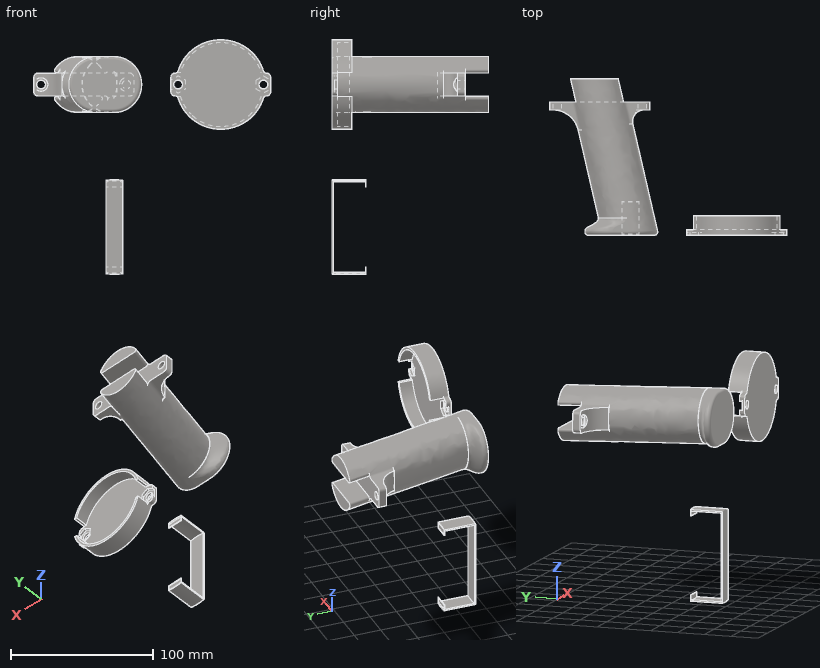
import cadquery as cq
import math

LUG_SPAN = 70.2
LUG_WIDTH = 16.1
LUG_CORNER_RADIUS = 3.0
SCREW_SPACING = 59.9
SCREW_DIAMETER = 6.0

GRIP_LENGTH = 110.0
GRIP_RADIUS = 19.8
GRIP_LEAN = 13.0
SLOT_DEPTH = 16.3
LUG_BLOCK_LENGTH = 23.3
SLOT_EDGE_RADIUS = 1.8
LUG_THICKNESS = 5.7
GRIP_BLEND_RADIUS = 3.0
REAR_GUSSET_RADIUS = 18.0
FRONT_GUSSET_RADIUS = 8.0
SCREW_SEAT_DIAMETER = 9.5
FOOT_THICKNESS = 2.8
FOOT_EDGE_RADIUS = 2.5
FOOT_FLARE = [(FOOT_THICKNESS, 11.6), (6.7, 7.3), (8.7, 3.0), (10.3, 1.0), (12.3, 0.3)]

CAP_X = 96.2
CAP_DIAMETER = 63.0
CAP_HEIGHT = 14.0
CAP_WALL = 2.0
CAP_FLOOR = 4.0
CAP_SLOT_WIDTH = 17.0
CAP_BLEND_RADIUS = 2.0
NUT_ACROSS_FLATS = 10.5
NUT_POCKET_DEPTH = 2.0

CLIP_X = 21.5
CLIP_Z = -100.0
CLIP_HEIGHT = 66.7
CLIP_WIDTH = 12.0
CLIP_DEPTH = 24.0
CLIP_THICKNESS = 1.2
CLIP_CORNER_RADIUS = 1.0
HOOK_THICKNESS = 0.5
HOOK_HEIGHT = 5.2

CAP_RADIUS = CAP_DIAMETER / 2
CLIP_RADIUS = CLIP_HEIGHT / 2
LUG_FACE_Y = GRIP_LENGTH - SLOT_DEPTH
LUG_SEAT_Y = LUG_FACE_Y - LUG_THICKNESS
SCREW_POINTS = [(-SCREW_SPACING / 2, 0), (SCREW_SPACING / 2, 0)]
LEAN_SLOPE = math.tan(math.radians(GRIP_LEAN))


def at(x, y, z=0.0):
    """Workplane across Y with local axes X and Z; a negative extrusion goes towards +Y."""
    return cq.Workplane("XZ", origin=(x, y, z))




def grip_axis_x(y):
    """X of the leaning grip axis, which passes X = 0 at the lug face."""
    return (LUG_FACE_Y - y) * LEAN_SLOPE


def lean(straight, y_start, y_end):
    """Extrude the end face that a straight prism has at y_start along the grip axis up to y_end."""
    path = cq.Vector(grip_axis_x(y_end) - grip_axis_x(y_start), y_end - y_start, 0)
    faces = straight.faces("<Y").vals()
    return cq.Workplane().newObject([cq.Solid.extrudeLinear(face, path) for face in faces])


def straight_bar(y_start, y_end):
    """Round bar along Y that starts on the grip axis at y_start."""
    return at(grip_axis_x(y_start), y_start).circle(GRIP_RADIUS).extrude(y_start - y_end)


def straight_cross_bar(y_start, y_end):
    """Bar of lug width across the grip axis that sticks out far on both sides."""
    return at(grip_axis_x(y_start), y_start).rect(2 * LUG_SPAN, LUG_WIDTH).extrude(y_start - y_end)


def end_slot():
    """Slot right across the end of the grip, flaring where its long edges are rounded."""
    limits = (LUG_FACE_Y, GRIP_LENGTH)
    prongs = straight_bar(*limits).cut(straight_cross_bar(*limits))
    prongs = prongs.edges("|Y").fillet(SLOT_EDGE_RADIUS)
    return lean(straight_bar(*limits).cut(prongs), *limits)


def lug_side_profile(side, gusset_radius):
    """Plate that gives one lug its shape in XY: an arc joins its underside to the grip's flank."""
    corner_angle = math.radians(90 - side * GRIP_LEAN)
    tangent = gusset_radius / math.tan(corner_angle / 2)
    arc_start_x = grip_axis_x(LUG_SEAT_Y) + side * (GRIP_RADIUS + tangent)
    arc_end_y = LUG_SEAT_Y - tangent * math.cos(math.radians(GRIP_LEAN))
    outline = (
        cq.Workplane("XY")
        .moveTo(0, LUG_FACE_Y)
        .lineTo(side * LUG_SPAN / 2, LUG_FACE_Y)
        .lineTo(side * LUG_SPAN / 2, LUG_SEAT_Y)
        .lineTo(arc_start_x, LUG_SEAT_Y)
        .tangentArcPoint((grip_axis_x(arc_end_y) + side * GRIP_RADIUS, arc_end_y), relative=False)
        .lineTo(grip_axis_x(arc_end_y), arc_end_y)
        .close()
    )
    return outline.extrude(GRIP_RADIUS, both=True)


def grip_lugs():
    """Screw lugs blended into the grip, with round screw seats in their undersides."""
    limits = (LUG_FACE_Y - LUG_BLOCK_LENGTH, LUG_FACE_Y)
    block = straight_bar(*limits).union(straight_cross_bar(*limits))
    block = lean(block.edges("|Y").fillet(GRIP_BLEND_RADIUS), *limits)
    profile = lug_side_profile(-1, REAR_GUSSET_RADIUS).union(lug_side_profile(1, FRONT_GUSSET_RADIUS))
    lugs = block.intersect(profile)
    return lugs.edges("|Y").edges("<X or >X").fillet(LUG_CORNER_RADIUS)


def flare_section(y, stretch):
    """Rear half of the grip section at y, moved towards -X and closed along the grip axis."""
    return (
        at(grip_axis_x(y), y)
        .moveTo(0, GRIP_RADIUS)
        .lineTo(-stretch, GRIP_RADIUS)
        .threePointArc((-stretch - GRIP_RADIUS, 0), (-stretch, -GRIP_RADIUS))
        .lineTo(0, -GRIP_RADIUS)
        .close()
        .wires()
        .val()
    )


def foot():
    """Stretched foot plate with a rounded rim and a flare that runs out into the grip."""
    stretch = FOOT_FLARE[0][1]
    middle_x = grip_axis_x(FOOT_THICKNESS) - stretch / 2
    plate = at(middle_x, FOOT_THICKNESS).slot2D(2 * GRIP_RADIUS + stretch, 2 * GRIP_RADIUS)
    plate = plate.extrude(FOOT_THICKNESS)
    plate = plate.faces("<Y").edges().fillet(FOOT_EDGE_RADIUS)
    flare = cq.Solid.makeLoft([flare_section(y, stretch) for y, stretch in FOOT_FLARE])
    return plate.union(cq.Workplane(flare))


def make_grip():
    """Leaning bar with its end slot, foot and drilled screw lugs."""
    bar_limits = (FOOT_THICKNESS, GRIP_LENGTH)
    bar = lean(straight_bar(*bar_limits), *bar_limits).cut(end_slot())
    seats = at(0, 0).pushPoints(SCREW_POINTS).circle(SCREW_SEAT_DIAMETER / 2).extrude(-LUG_SEAT_Y)
    screw_holes = at(0, 0).pushPoints(SCREW_POINTS).circle(SCREW_DIAMETER / 2).extrude(-GRIP_LENGTH)
    lugs = grip_lugs().cut(seats).cut(screw_holes)
    return bar.union(foot()).union(lugs)




def make_cap():
    """Round cup with a slotted wall and two screw lugs level with its floor."""
    disc = at(CAP_X, 0).circle(CAP_RADIUS).extrude(-CAP_FLOOR)
    cross_bar = at(CAP_X, 0).rect(2 * LUG_SPAN, LUG_WIDTH).extrude(-CAP_FLOOR)
    lug_limits = at(CAP_X, 0).rect(LUG_SPAN, 2 * CAP_RADIUS).extrude(-CAP_FLOOR)
    base = disc.union(cross_bar).edges("|Y").fillet(CAP_BLEND_RADIUS).intersect(lug_limits)
    base = base.edges("|Y").edges("<X or >X").fillet(LUG_CORNER_RADIUS)
    wall = at(CAP_X, CAP_FLOOR).circle(CAP_RADIUS).circle(CAP_RADIUS - CAP_WALL)
    wall = wall.extrude(CAP_FLOOR - CAP_HEIGHT)
    slot = at(CAP_X, CAP_FLOOR).rect(LUG_SPAN, CAP_SLOT_WIDTH).extrude(CAP_FLOOR - CAP_HEIGHT)
    screw_holes = at(CAP_X, 0).pushPoints(SCREW_POINTS).circle(SCREW_DIAMETER / 2).extrude(-CAP_FLOOR)
    return base.union(wall.cut(slot)).cut(nut_pockets()).cut(screw_holes)


def nut_pockets():
    """Hexagonal pockets in the inner lug faces, each with two flats along Z, open at the lug ends."""
    hexagon = cq.Sketch().regularPolygon(NUT_ACROSS_FLATS / 2 / math.cos(math.pi / 6), 6)
    return at(CAP_X, CAP_FLOOR).pushPoints(SCREW_POINTS).placeSketch(hexagon).extrude(NUT_POCKET_DEPTH)




def make_clip():
    """Strip bent round the cap: flat front, arms curved about the Y axis, hooks at their ends."""
    across = at(CLIP_X, 0, CLIP_Z)
    blank = across.circle(CLIP_RADIUS).extrude(-CLIP_DEPTH)
    blank = blank.faces("<Y").edges().fillet(CLIP_CORNER_RADIUS)
    inner_radius = CLIP_RADIUS - CLIP_THICKNESS
    room = at(CLIP_X, CLIP_THICKNESS, CLIP_Z).circle(inner_radius)
    room = room.extrude(CLIP_THICKNESS + HOOK_THICKNESS - CLIP_DEPTH)
    mouth = across.rect(2 * CLIP_RADIUS, 2 * (CLIP_RADIUS - HOOK_HEIGHT)).extrude(-CLIP_DEPTH)
    mouth = mouth.translate((0, CLIP_THICKNESS, 0))
    strip = across.rect(CLIP_WIDTH, 2 * CLIP_RADIUS).extrude(-CLIP_DEPTH)
    return blank.cut(room).cut(mouth).intersect(strip)


grip = make_grip().solids()
cap = make_cap().solids()
clip = make_clip().solids()

result = cq.Compound.makeCompound([grip.val(), cap.val(), clip.val()])